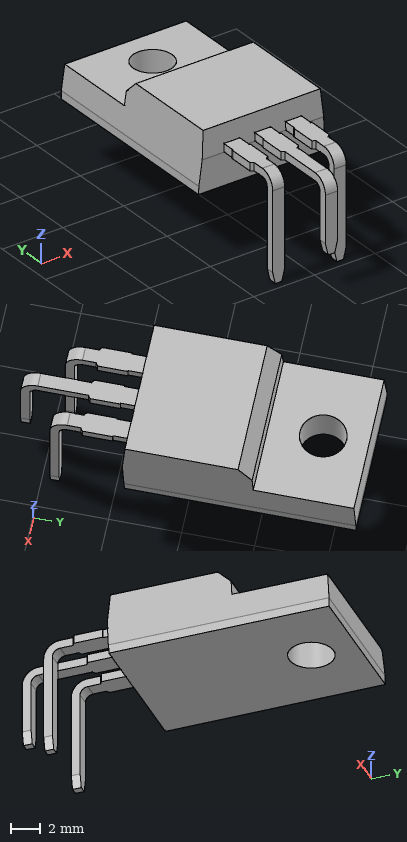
import cadquery as cq
import math


package_width = 10.35
package_length = 16.03
package_top_width = 9.66
package_height = 4.88
base_height = 0.67
tab_height = 2.73
back_draft = 0.17
front_top_draft = 0.15
front_bottom_draft = 0.2
step_y = 8.97
step_draft = 0.1
chamfer_bottom_z = 3.88
chamfer_top_y = 7.9
hole_diameter = 3.18
hole_y = 12.73

lead_pitch = 2.54
lead_thickness = 0.65
lead_bottom_z = tab_height
lead_top_z = lead_bottom_z + lead_thickness
lead_embed = 0.25
neck_width = 1.32
shoulder_width = 1.45
tail_width = 1.0
tip_width = 0.55
tip_length = 0.95
shoulder_start_y = -1.0
shoulder_end_y = -3.09
tail_start_y = -3.23
bend_outer_radius = 1.2
bend_inner_radius = bend_outer_radius - lead_thickness
outer_lead_reach = 5.35
outer_lead_tip_z = -5.07
middle_lead_reach = 7.9
middle_lead_tip_z = -2.5

lead_layout = [
    (-lead_pitch, outer_lead_reach, outer_lead_tip_z),
    (0, middle_lead_reach, middle_lead_tip_z),
    (lead_pitch, outer_lead_reach, outer_lead_tip_z),
]


def make_package():
    """Stepped side profile, trimmed to the drafted side walls, with a mounting hole."""
    stepped_block = (
        cq.Workplane("YZ")
        .polyline([
            (front_bottom_draft, 0),
            (package_length, 0),
            (package_length, base_height),
            (package_length - back_draft, tab_height),
            (step_y, tab_height),
            (step_y - step_draft, chamfer_bottom_z),
            (chamfer_top_y, package_height),
            (front_top_draft, package_height),
            (0, tab_height),
        ])
        .close()
        .extrude(package_width / 2, both=True)
    )
    drafted_walls = (
        cq.Workplane("XZ")
        .polyline([
            (-package_width / 2, 0),
            (package_width / 2, 0),
            (package_width / 2, base_height),
            (package_top_width / 2, package_height),
            (-package_top_width / 2, package_height),
            (-package_width / 2, base_height),
        ])
        .close()
        .extrude(-package_length)
    )
    mounting_hole = (
        cq.Workplane("XY")
        .center(0, hole_y)
        .circle(hole_diameter / 2)
        .extrude(tab_height)
    )
    return stepped_block.intersect(drafted_walls).cut(mounting_hole)


def make_horizontal_run(bend_start_y):
    """Flat part of a lead: neck, wide shoulder and narrow tail up to the bend."""
    right_edge = [
        (neck_width / 2, lead_embed),
        (neck_width / 2, shoulder_start_y),
        (shoulder_width / 2, shoulder_start_y),
        (shoulder_width / 2, shoulder_end_y),
        (tail_width / 2, tail_start_y),
        (tail_width / 2, bend_start_y),
    ]
    left_edge = [(-x, y) for x, y in reversed(right_edge)]
    return (
        cq.Workplane("XY", origin=(0, 0, lead_bottom_z))
        .polyline(right_edge + left_edge)
        .close()
        .extrude(lead_thickness)
    )


def make_bend(bend_start_y):
    """Quarter-round bend from horizontal to straight down."""
    center_z = lead_top_z - bend_outer_radius
    diagonal = math.sqrt(0.5)

    def arc_middle(radius):
        return (bend_start_y - radius * diagonal, center_z + radius * diagonal)

    return (
        cq.Workplane("YZ")
        .moveTo(bend_start_y, lead_top_z)
        .threePointArc(arc_middle(bend_outer_radius), (bend_start_y - bend_outer_radius, center_z))
        .lineTo(bend_start_y - bend_inner_radius, center_z)
        .threePointArc(arc_middle(bend_inner_radius), (bend_start_y, lead_bottom_z))
        .close()
        .extrude(tail_width / 2, both=True)
    )


def make_vertical_run(reach, tip_z):
    """Downward leg of a lead with a tapered tip."""
    bend_end_z = lead_top_z - bend_outer_radius
    taper_start_z = tip_z + tip_length
    return (
        cq.Workplane("XZ", origin=(0, -reach, 0))
        .polyline([
            (-tail_width / 2, bend_end_z),
            (tail_width / 2, bend_end_z),
            (tail_width / 2, taper_start_z),
            (tip_width / 2, tip_z),
            (-tip_width / 2, tip_z),
            (-tail_width / 2, taper_start_z),
        ])
        .close()
        .extrude(-lead_thickness)
    )


def make_lead(x, reach, tip_z):
    bend_start_y = bend_outer_radius - reach
    lead = (
        make_horizontal_run(bend_start_y)
        .union(make_bend(bend_start_y))
        .union(make_vertical_run(reach, tip_z))
    )
    return lead.translate((x, 0, 0))


leads = [make_lead(x, reach, tip_z) for x, reach, tip_z in lead_layout]

package = make_package()
for lead in leads:
    package = package.cut(lead)

result = cq.Compound.makeCompound([package.val(), *[lead.val() for lead in leads]])